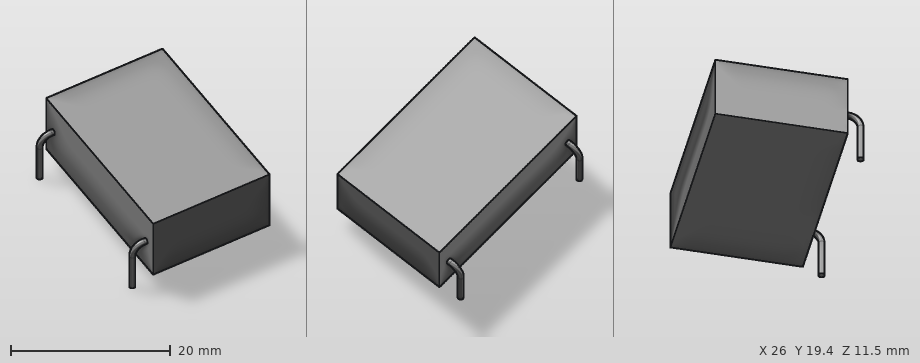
import cadquery as cq

body_length = 26.0
body_width = 17.0
body_height = 9.0

lead_diameter = 0.8
lead_pitch = 22.5
lead_exit_height = body_height / 2
lead_reach = 2.0
lead_bend_radius = 1.6
lead_drop = 2.5
lead_embed = 0.5

front_y = -body_width / 2


def make_body():
    return cq.Workplane("XY").box(
        body_length, body_width, body_height, centered=(True, True, False)
    )


def make_lead(x):
    """Wire with a horizontal stub, a quarter-circle bend and a vertical leg."""
    start_y = front_y + lead_embed
    leg_y = front_y - lead_reach
    bend_y = leg_y + lead_bend_radius
    bend_z = lead_exit_height - lead_bend_radius

    path = (
        cq.Workplane("YZ", origin=(x, 0, 0))
        .moveTo(start_y, lead_exit_height)
        .lineTo(bend_y, lead_exit_height)
        .tangentArcPoint((leg_y, bend_z), relative=False)
        .lineTo(leg_y, -lead_drop)
    )
    return (
        cq.Workplane("XZ", origin=(x, start_y, lead_exit_height))
        .circle(lead_diameter / 2)
        .sweep(path)
    )


result = make_body()
for side in (-1, 1):
    result = result.union(make_lead(side * lead_pitch / 2))